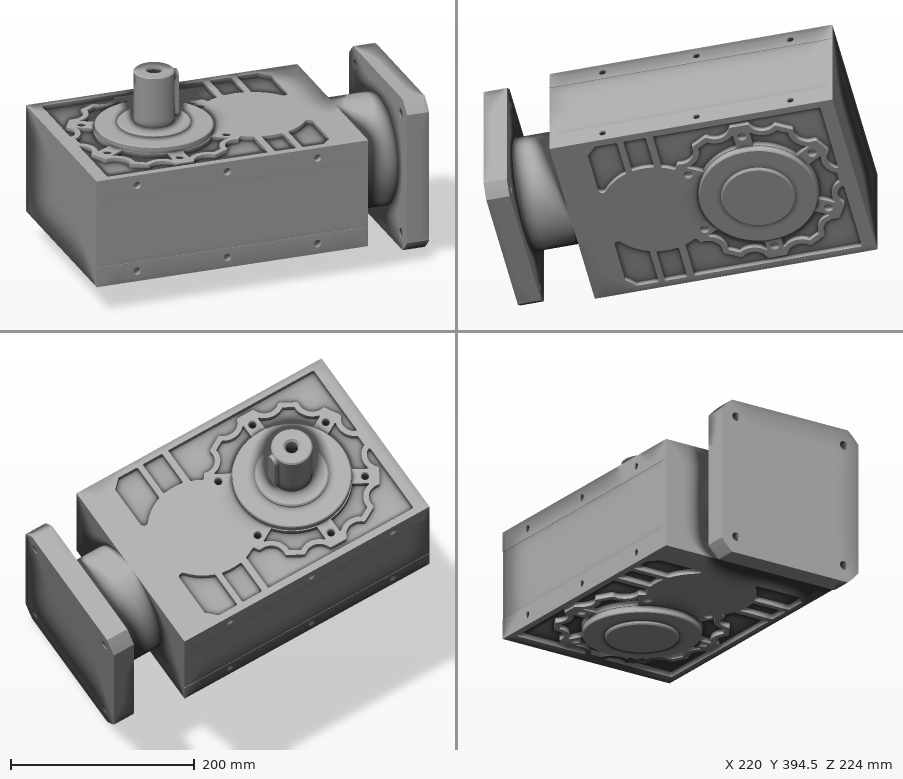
import cadquery as cq
import math


HOUSING_WIDTH = 220.0
HOUSING_FRONT_Y = -108.0
HOUSING_BACK_Y = 208.0
HOUSING_HEIGHT = 126.0
HALF_HEIGHT = HOUSING_HEIGHT / 2
HALF_WIDTH = HOUSING_WIDTH / 2
SIDE_BAND_INNER_Z = 40.0
SIDE_RELIEF_DEPTH = 0.5

NECK_DIAMETER = HOUSING_HEIGHT
NECK_LENGTH = 52.5
FLANGE_SIZE = 180.0
FLANGE_CORNER_DIAMETER = 236.0
FLANGE_THICKNESS = 26.0
FLANGE_BOLT_SPACING = 142.0
FLANGE_HOLE_DIAMETER = 10.0

COVER_DIAMETER = 130.0
COVER_HEIGHT = 7.5
COVER_CHAMFER = 1.0
HUB_DIAMETER = 81.0
HUB_HEIGHT = 11.0
HUB_CHAMFER = 1.5
SHAFT_DIAMETER = 45.0
SHAFT_LENGTH = 71.0
SHAFT_CHAMFER = 1.5
CENTRE_HOLE_DIAMETER = 14.0
CENTRE_HOLE_DEPTH = 36.0
CENTRE_HOLE_CHAMFER = 2.5

KEY_WIDTH = 14.0
KEY_LENGTH = 56.0
KEY_PROTRUSION = 4.0
KEY_HEIGHT = 9.0
KEY_END_GAP = 2.5

RING_LOBE_COUNT = 12
RING_APOTHEM = 95.5
RING_WIDTH = 6.0
SCALLOP_CENTRE_RADIUS = 102.4
SCALLOP_RADIUS = 16.0
LOBE_FILLET = 3.0
RIB_WIDTH = 18.0
INNER_POCKET_RADIUS = 66.0
INNER_POCKET_ANGLES = (30, 150, 210, 270, 330)
INNER_POCKET_FILLET = 1.0
COVER_BOLT_COUNT = 6
COVER_BOLT_CIRCLE_RADIUS = 80.0
COVER_BOLT_DIAMETER = 8.5
COVER_BOLT_DEPTH = 22.0
COVER_BOLT_CHAMFER = 1.0

POCKET_DEPTH = 6.0
POCKET_OUTER_X = 102.0
PAD_CENTRE_Y = 115.0
PAD_RADIUS = 60.0
UPPER_POCKET_Y = (134.5, 170.0)
UPPER_POCKET_CHAMFER = 11.0
UPPER_POCKET_TIP_FILLET = 4.5
MIDDLE_POCKET_Y = (102.5, 128.0)
LOWER_POCKET_Y = (-92.7, 95.0)
POCKET_FILLET = 2.0

SIDE_HOLE_Y = (-61.0, 44.0, 149.0)
SIDE_HOLE_Z = 51.0
SIDE_HOLE_DIAMETER = 6.8
SIDE_HOLE_DEPTH = 18.0
SIDE_HOLE_CHAMFER = 1.0

DRILL_HALF_ANGLE = math.radians(59)


def polar(radius, degrees):
    angle = math.radians(degrees)
    return (radius * math.cos(angle), radius * math.sin(angle))


def both_faces(solid):
    """Repeat a top-side shape on the underside of the housing."""
    return solid.union(solid.mirror("XY"))


def both_sides(solid):
    """Repeat a +X shape on the -X side."""
    return solid.union(solid.mirror("YZ"))


def drilled_hole(diameter, depth, chamfer):
    """Cutter for a chamfered blind hole down from Z = 0 with a drill-point bottom."""
    radius = diameter / 2
    tip_depth = depth + radius / math.tan(DRILL_HALF_ANGLE)
    return (
        cq.Workplane("XZ")
        .moveTo(0, 0)
        .lineTo(radius + chamfer, 0)
        .lineTo(radius, -chamfer)
        .lineTo(radius, -depth)
        .lineTo(0, -tip_depth)
        .close()
        .revolve(360, (0, 0, 0), (0, 1, 0))
    )


def pocket_plane():
    return cq.Workplane("XY").workplane(offset=HALF_HEIGHT - POCKET_DEPTH)


def disc(radius, y=0.0):
    return pocket_plane().center(0, y).circle(radius).extrude(POCKET_DEPTH)


def pocket_box(x_range, y_range):
    width = x_range[1] - x_range[0]
    length = y_range[1] - y_range[0]
    return (
        pocket_plane()
        .center(sum(x_range) / 2, sum(y_range) / 2)
        .rect(width, length)
        .extrude(POCKET_DEPTH)
    )


def scalloped_disc(inset):
    """Twelve-sided disc with a round scallop at every corner, shrunk by inset."""
    half_step = 180 / RING_LOBE_COUNT
    corner_radius = (RING_APOTHEM - inset) / math.cos(math.radians(half_step))
    angles = [half_step * (2 * i + 1) for i in range(RING_LOBE_COUNT)]
    corners = [polar(corner_radius, a) for a in angles]
    scallop_centres = [polar(SCALLOP_CENTRE_RADIUS, a) for a in angles]
    disc_body = pocket_plane().polyline(corners).close().extrude(POCKET_DEPTH)
    scallops = (
        pocket_plane()
        .pushPoints(scallop_centres)
        .circle(SCALLOP_RADIUS + inset)
        .extrude(POCKET_DEPTH)
    )
    return disc_body.cut(scallops)


def make_housing():
    length = HOUSING_BACK_Y - HOUSING_FRONT_Y
    middle_y = (HOUSING_BACK_Y + HOUSING_FRONT_Y) / 2
    body = cq.Workplane("XY").box(HOUSING_WIDTH, length, HOUSING_HEIGHT)
    relief = (
        cq.Workplane("XY")
        .box(SIDE_RELIEF_DEPTH, length, 2 * SIDE_BAND_INNER_Z)
        .translate((HALF_WIDTH - SIDE_RELIEF_DEPTH / 2, 0, 0))
    )
    return body.cut(both_sides(relief)).translate((0, middle_y, 0))


def make_upper_pocket():
    outline = (
        pocket_box((0, POCKET_OUTER_X), UPPER_POCKET_Y)
        .edges("|Z and >X and >Y")
        .chamfer(UPPER_POCKET_CHAMFER)
    )
    pocket = outline.cut(disc(PAD_RADIUS, PAD_CENTRE_Y))
    pocket = pocket.edges("|Z and <X").fillet(UPPER_POCKET_TIP_FILLET)
    return pocket.edges("|Z and <Y").fillet(POCKET_FILLET)


def make_middle_pocket():
    outline = pocket_box((0, POCKET_OUTER_X), MIDDLE_POCKET_Y)
    return outline.cut(disc(PAD_RADIUS, PAD_CENTRE_Y)).edges("|Z").fillet(POCKET_FILLET)


def make_lower_pocket():
    ring = scalloped_disc(0).edges("|Z").fillet(LOBE_FILLET)
    outline = pocket_box((0, POCKET_OUTER_X), LOWER_POCKET_Y)
    pocket = outline.cut(disc(PAD_RADIUS, PAD_CENTRE_Y)).cut(ring)
    pocket = cq.Workplane(pocket.solids(">X").val())
    pad_tip = pocket.edges("|Z").filter(lambda edge: edge.Center().y > 0).edges("<X")
    pocket = pad_tip.fillet(POCKET_FILLET)
    return pocket.edges("|Z and <Y").fillet(POCKET_FILLET)


def make_inner_pockets():
    """Pockets between the cover and the bolting ring, split by ribs at the bolts."""
    space = scalloped_disc(RING_WIDTH).cut(disc(INNER_POCKET_RADIUS))
    bolt_step = 360 / COVER_BOLT_COUNT
    for i in range(COVER_BOLT_COUNT):
        rib = pocket_box((0, RING_APOTHEM), (-RIB_WIDTH / 2, RIB_WIDTH / 2))
        space = space.cut(rib.rotate((0, 0, 0), (0, 0, 1), i * bolt_step))
    pocket = cq.Workplane(space.solids("<Y").val())
    rib_corners = pocket.edges("|Z").edges("<X or >X")
    pocket = rib_corners.fillet(INNER_POCKET_FILLET)
    pockets = cq.Workplane("XY")
    for angle in INNER_POCKET_ANGLES:
        pockets = pockets.union(pocket.rotate((0, 0, 0), (0, 0, 1), angle + 90))
    return pockets


def make_cover_bolt_holes():
    hole = drilled_hole(COVER_BOLT_DIAMETER, COVER_BOLT_DEPTH, COVER_BOLT_CHAMFER)
    holes = cq.Workplane("XY")
    for i in range(COVER_BOLT_COUNT):
        x, y = polar(COVER_BOLT_CIRCLE_RADIUS, i * 360 / COVER_BOLT_COUNT)
        holes = holes.union(hole.translate((x, y, HALF_HEIGHT)))
    return holes


def make_side_holes():
    hole = drilled_hole(SIDE_HOLE_DIAMETER, SIDE_HOLE_DEPTH, SIDE_HOLE_CHAMFER)
    hole = hole.rotate((0, 0, 0), (0, 1, 0), 90)
    holes = cq.Workplane("XY")
    for y in SIDE_HOLE_Y:
        holes = holes.union(hole.translate((HALF_WIDTH, y, SIDE_HOLE_Z)))
    return both_sides(holes)


def make_cover():
    cover = (
        cq.Workplane("XY")
        .circle(COVER_DIAMETER / 2)
        .extrude(HALF_HEIGHT + COVER_HEIGHT)
        .faces(">Z")
        .chamfer(COVER_CHAMFER)
    )
    hub = (
        cq.Workplane("XY")
        .circle(HUB_DIAMETER / 2)
        .extrude(HALF_HEIGHT + HUB_HEIGHT)
        .faces(">Z")
        .chamfer(HUB_CHAMFER)
    )
    return cover.union(hub)


def make_shaft():
    end_z = HALF_HEIGHT + SHAFT_LENGTH
    shaft = (
        cq.Workplane("XY")
        .circle(SHAFT_DIAMETER / 2)
        .extrude(end_z)
        .faces(">Z")
        .chamfer(SHAFT_CHAMFER)
    )
    key_outer_y = SHAFT_DIAMETER / 2 + KEY_PROTRUSION
    key = (
        cq.Workplane("XZ", origin=(0, key_outer_y, end_z - KEY_END_GAP - KEY_LENGTH / 2))
        .slot2D(KEY_LENGTH, KEY_WIDTH, 90)
        .extrude(KEY_HEIGHT)
    )
    centre_hole = drilled_hole(CENTRE_HOLE_DIAMETER, CENTRE_HOLE_DEPTH, CENTRE_HOLE_CHAMFER)
    return shaft.union(key).cut(centre_hole.translate((0, 0, end_z)))


def make_motor_side():
    """Round neck and square flange with arc-trimmed corners, running toward +Y."""
    neck_plane = cq.Workplane("XZ", origin=(0, HOUSING_BACK_Y, 0))
    flange_plane = cq.Workplane("XZ", origin=(0, HOUSING_BACK_Y + NECK_LENGTH, 0))
    neck = neck_plane.circle(NECK_DIAMETER / 2).extrude(-NECK_LENGTH)
    square = flange_plane.rect(FLANGE_SIZE, FLANGE_SIZE).extrude(-FLANGE_THICKNESS)
    corner_trim = flange_plane.circle(FLANGE_CORNER_DIAMETER / 2).extrude(-FLANGE_THICKNESS)
    holes = (
        flange_plane
        .rect(FLANGE_BOLT_SPACING, FLANGE_BOLT_SPACING, forConstruction=True)
        .vertices()
        .circle(FLANGE_HOLE_DIAMETER / 2)
        .extrude(-FLANGE_THICKNESS)
    )
    return neck.union(square.intersect(corner_trim).cut(holes))


panel_pockets = make_upper_pocket().union(make_middle_pocket()).union(make_lower_pocket())

result = (
    make_housing()
    .cut(both_faces(both_sides(panel_pockets)))
    .cut(both_faces(make_inner_pockets()))
    .cut(both_faces(make_cover_bolt_holes()))
    .cut(both_faces(make_side_holes()))
    .union(both_faces(make_cover()))
    .union(make_shaft())
    .union(make_motor_side())
)